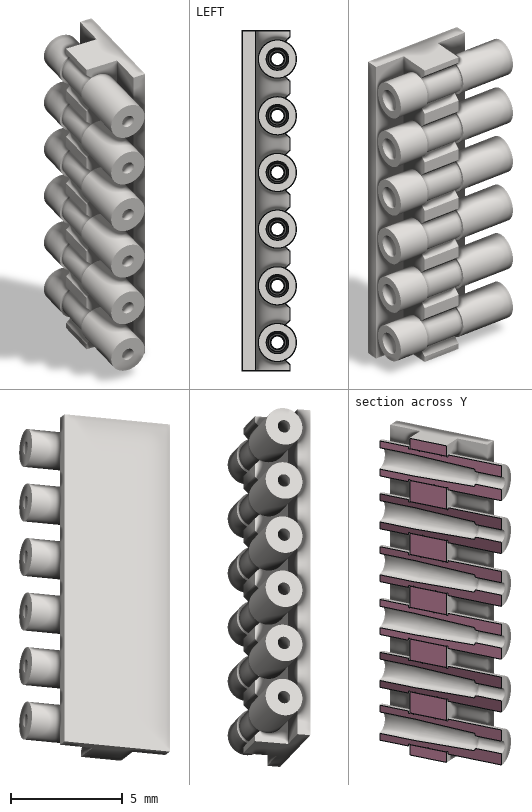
import cadquery as cq

TUBE_COUNT = 6
HOUSING_HEIGHT = 15.24
PITCH = HOUSING_HEIGHT / TUBE_COUNT

PLATE_WIDTH = 5.0
PLATE_THICKNESS = 0.6
WEB_DEPTH = 2.15
WEB_WIDTH = 1.9

TUBE_LENGTH = 6.3
TUBE_RADIUS = 0.85
WAIST_RADIUS = 0.75
WAIST_START = 1.51
WAIST_LENGTH = 2.0
OVERALL_DEPTH = 2.44

THROAT_HALF_HEIGHT = 0.7
MOUTH_HALF_HEIGHT = 0.99

ENTRY_RADIUS = 0.5
TAPER_END_RADIUS = 0.41
LEAD_IN_RADIUS = 0.32
REAR_RADIUS = 0.29
ENTRY_DEPTH = 1.83
TAPER_LENGTH = 3.05
STEP_LENGTH = 0.023
LEAD_IN_LENGTH = 0.08

TUBE_AXIS_Y = TUBE_RADIUS
BACK_Y = OVERALL_DEPTH
WEB_FRONT_Y = BACK_Y - WEB_DEPTH
WEB_START = WAIST_START + (WAIST_LENGTH - WEB_WIDTH) / 2


def tube_axis_height(index):
    return (index + 0.5) * PITCH


def make_snap_socket(axis_z):
    """Round socket for one waist with a flared opening through the web front."""
    socket = (
        cq.Workplane("YZ", origin=(WEB_START, TUBE_AXIS_Y, axis_z))
        .circle(WAIST_RADIUS)
        .extrude(WEB_WIDTH)
    )
    throat_offset = (WAIST_RADIUS**2 - THROAT_HALF_HEIGHT**2) ** 0.5
    mouth_offset = TUBE_AXIS_Y - WEB_FRONT_Y
    opening = (
        cq.Workplane("YZ", origin=(WEB_START, TUBE_AXIS_Y, axis_z))
        .moveTo(0, 0)
        .lineTo(-throat_offset, THROAT_HALF_HEIGHT)
        .lineTo(-mouth_offset, MOUTH_HALF_HEIGHT)
        .lineTo(-mouth_offset, -MOUTH_HALF_HEIGHT)
        .lineTo(-throat_offset, -THROAT_HALF_HEIGHT)
        .close()
        .extrude(WEB_WIDTH)
    )
    return socket.union(opening)


def make_housing():
    plate = cq.Workplane("XY").box(PLATE_WIDTH, PLATE_THICKNESS, HOUSING_HEIGHT, centered=False)
    plate = plate.translate((0, BACK_Y - PLATE_THICKNESS, 0))
    web = cq.Workplane("XY").box(WEB_WIDTH, WEB_DEPTH, HOUSING_HEIGHT, centered=False)
    web = web.translate((WEB_START, WEB_FRONT_Y, 0))
    housing = plate.union(web)
    for index in range(TUBE_COUNT):
        housing = housing.cut(make_snap_socket(tube_axis_height(index)))
    return housing


def make_tube(axis_z):
    """Waisted sleeve with a through bore, revolved about its own X axis."""
    waist_end = WAIST_START + WAIST_LENGTH
    taper_end = ENTRY_DEPTH + TAPER_LENGTH
    step_end = taper_end + STEP_LENGTH
    lead_in_end = step_end + LEAD_IN_LENGTH
    half_section = [
        (0, ENTRY_RADIUS),
        (0, TUBE_RADIUS),
        (WAIST_START, TUBE_RADIUS),
        (WAIST_START, WAIST_RADIUS),
        (waist_end, WAIST_RADIUS),
        (waist_end, TUBE_RADIUS),
        (TUBE_LENGTH, TUBE_RADIUS),
        (TUBE_LENGTH, REAR_RADIUS),
        (lead_in_end, REAR_RADIUS),
        (step_end, LEAD_IN_RADIUS),
        (taper_end, TAPER_END_RADIUS),
        (ENTRY_DEPTH, ENTRY_RADIUS),
    ]
    tube = cq.Workplane("XY").polyline(half_section).close().revolve(360, (0, 0, 0), (1, 0, 0))
    return tube.translate((0, TUBE_AXIS_Y, axis_z))


housing = make_housing()
tubes = [make_tube(tube_axis_height(index)) for index in range(TUBE_COUNT)]

result = cq.Compound.makeCompound([housing.val(), *[tube.val() for tube in tubes]])